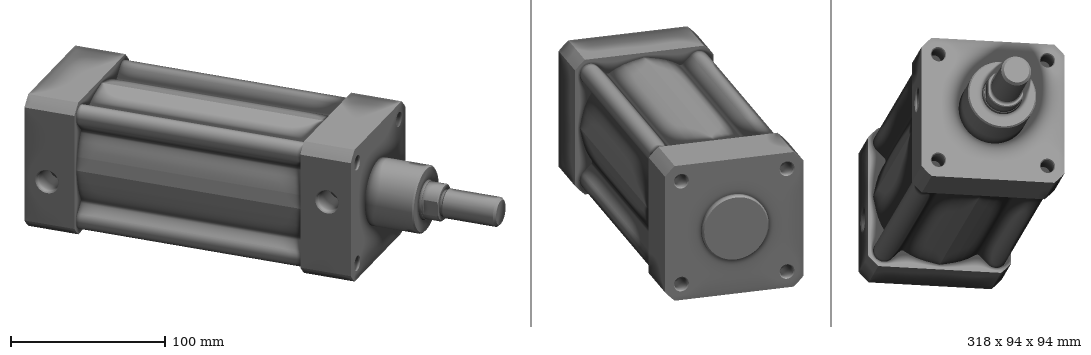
import cadquery as cq
import math

overall_length = 318.0
pilot_length = 3.8
rear_cap_length = 35.0
tube_length = 158.0
front_cap_length = 35.3
boss_length = 33.7
thread_length = 38.0
undercut_length = 1.5

rear_cap_start = pilot_length
rear_cap_end = rear_cap_start + rear_cap_length
front_cap_start = rear_cap_end + tube_length
front_cap_end = front_cap_start + front_cap_length
boss_end = front_cap_end + boss_length
thread_start = overall_length - thread_length
shank_end = thread_start - undercut_length

cap_side = 94.0
cap_turned_radius = 62.0
boss_radius = 22.5
pilot_chamfer = 1.0
boss_chamfer = 1.0

wiper_base_radius = 13.5
wiper_tip_radius = 12.7
wiper_length = 1.5

screw_spacing = 72.0
screw_hole_radius = 4.5
screw_hole_depth = 16.0
screw_chamfer = 0.5

port_radius = 7.5
port_depth = 22.3
port_chamfer = 0.5
rear_port_x = 19.7
front_port_x = 215.5
port_offset = 10.0

barrel_radius = 43.0
ridge_height = 44.0
rib_offset = 37.0
rib_radius = 7.0
rib_fillet = 2.2

rod_radius = 12.5
rod_end_chamfer = 0.5
flat_width = 22.5
flat_gap = 3.0
flat_start = boss_end + flat_gap
undercut_radius = 9.0
thread_radius = 10.0
thread_lead_in = 1.0
thread_end_chamfer = 1.5


def cross_section(x):
    """Workplane at the given X, facing +X, with local axes Y and Z."""
    return cq.Workplane("YZ", origin=(x, 0, 0))


def cap_block(start, length):
    """Square cap whose corners are turned down to a circle about the axis."""
    block = cross_section(start).rect(cap_side, cap_side).extrude(length)
    turned_disc = cross_section(start).circle(cap_turned_radius).extrude(length)
    return block.intersect(turned_disc)


def chamfered_drill(radius, depth, chamfer):
    """Cutting tool for a hole with a chamfered mouth, as a revolved half profile along local +Y."""
    return (
        cq.Workplane("XY")
        .polyline([(0, 0), (radius + chamfer, 0), (radius, chamfer), (radius, depth), (0, depth)])
        .close()
        .revolve(360, (0, 0, 0), (0, 1, 0))
    )


def drill_port(cap, x, z):
    """Cut one air port into the -Y side of a cap."""
    tool = chamfered_drill(port_radius, port_depth, port_chamfer)
    return cap.cut(tool.translate((x, -cap_side / 2, z)))


def drill_screw_holes(cap, face_x, drill_turn):
    """Cut the four screw holes; drill_turn (degrees about Z) aims the drill from +Y into the cap."""
    tool = chamfered_drill(screw_hole_radius, screw_hole_depth, screw_chamfer)
    tool = tool.rotate((0, 0, 0), (0, 0, 1), drill_turn)
    for y in (-screw_spacing / 2, screw_spacing / 2):
        for z in (-screw_spacing / 2, screw_spacing / 2):
            cap = cap.cut(tool.translate((face_x, y, z)))
    return cap


def make_rear_cap():
    """Rear cap with its centring pilot, screw holes and port."""
    pilot = cross_section(0).circle(boss_radius).extrude(pilot_length)
    pilot = pilot.faces("<X").chamfer(pilot_chamfer)
    cap = cap_block(rear_cap_start, rear_cap_length).union(pilot)
    cap = drill_screw_holes(cap, rear_cap_start, -90)
    return drill_port(cap, rear_port_x, -port_offset)


def make_front_cap():
    """Front cap with its boss, wiper ring, screw holes, port and rod bore."""
    boss = cross_section(front_cap_end).circle(boss_radius).extrude(boss_length)
    boss = boss.faces(">X").chamfer(boss_chamfer)
    wiper = (
        cross_section(boss_end)
        .circle(wiper_base_radius)
        .workplane(offset=wiper_length)
        .circle(wiper_tip_radius)
        .loft()
    )
    rod_bore = cross_section(front_cap_start).circle(rod_radius).extrude(overall_length)
    cap = cap_block(front_cap_start, front_cap_length).union(boss).union(wiper).cut(rod_bore)
    cap = drill_screw_holes(cap, front_cap_end, 90)
    return drill_port(cap, front_port_x, port_offset)


def make_tube():
    """Barrel with a shallow ridge on each side and a round-ended rib on each diagonal."""
    tangent_angle = math.acos(barrel_radius / ridge_height)
    tangent_along = barrel_radius * math.cos(tangent_angle)
    tangent_across = barrel_radius * math.sin(tangent_angle)
    rib_reach = rib_offset * math.sqrt(2)

    tube = cross_section(rear_cap_end).circle(barrel_radius).extrude(tube_length)
    for side in range(4):
        rib = (
            cross_section(rear_cap_end)
            .moveTo(0, -rib_radius)
            .lineTo(rib_reach, -rib_radius)
            .threePointArc((rib_reach + rib_radius, 0), (rib_reach, rib_radius))
            .lineTo(0, rib_radius)
            .close()
            .extrude(tube_length)
            .rotate((0, 0, 0), (1, 0, 0), 45 + 90 * side)
        )
        tube = tube.union(rib)

    root_along = math.sqrt(barrel_radius**2 - rib_radius**2)
    root_angle = math.atan2(rib_radius, root_along)
    for side in range(4):
        for turn in (-root_angle, root_angle):
            angle = math.pi / 4 + side * math.pi / 2 + turn
            root = (
                rear_cap_end + tube_length / 2,
                barrel_radius * math.cos(angle),
                barrel_radius * math.sin(angle),
            )
            tube = tube.edges(cq.selectors.NearestToPointSelector(root)).fillet(rib_fillet)

    for side in range(4):
        ridge = (
            cross_section(rear_cap_end)
            .polyline([
                (0, 0),
                (tangent_along, -tangent_across),
                (ridge_height, 0),
                (tangent_along, tangent_across),
            ])
            .close()
            .extrude(tube_length)
            .rotate((0, 0, 0), (1, 0, 0), 90 * side)
        )
        tube = tube.union(ridge)
    return tube


def make_rod():
    """Turned rod with two wrench flats, a thread undercut and a chamfered threaded end."""
    rod = (
        cq.Workplane("XY")
        .polyline([
            (front_cap_start, 0),
            (front_cap_start, rod_radius),
            (shank_end - rod_end_chamfer, rod_radius),
            (shank_end, rod_radius - rod_end_chamfer),
            (shank_end, undercut_radius),
            (thread_start, undercut_radius),
            (thread_start + thread_lead_in, thread_radius),
            (overall_length - thread_end_chamfer, thread_radius),
            (overall_length, thread_radius - thread_end_chamfer),
            (overall_length, 0),
        ])
        .close()
        .revolve(360, (0, 0, 0), (1, 0, 0))
    )
    flat_length = shank_end - flat_start
    flats = (
        cross_section(flat_start)
        .rect(2 * cap_side, 2 * cap_side)
        .rect(flat_width, 2 * rod_radius)
        .extrude(flat_length)
    )
    return rod.cut(flats)


rear_cap = make_rear_cap()
tube = make_tube()
front_cap = make_front_cap()
rod = make_rod()

result = cq.Compound.makeCompound([rear_cap.val(), tube.val(), front_cap.val(), rod.val()])